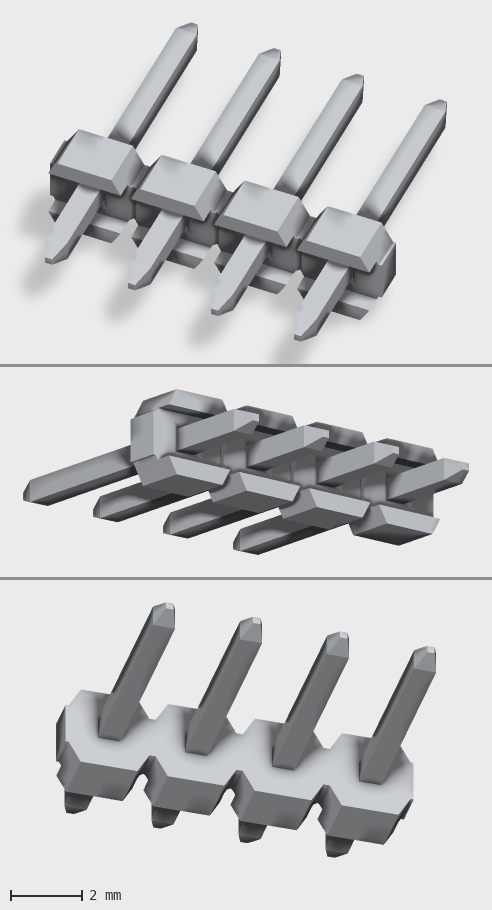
import cadquery as cq


pin_count = 4
pitch = 2.54
row_length = pin_count * pitch
pin_places = [(i - (pin_count - 1) / 2) * pitch for i in range(pin_count)]
gap_places = [x + pitch / 2 for x in pin_places[:-1]]

housing_height = 2.5
housing_depth = 1.5
base_depth = 1.0
base_height = 1.26
block_top_width = 1.65
block_base_width = 2.36
lip_gap = 1.5
notch_width = 0.2
notch_depth = notch_width / 2

pin_width = 0.64
pin_back_length = 6.2
pin_front_length = 2.5
tip_length = 0.58
tip_width = 0.21
pin_front_end = -(housing_depth + pin_front_length)

mouth_width = 1.04
mouth_radius = (mouth_width - pin_width) / 2


def square_bar(x, y_start, y_end, width):
    """Square bar along Y."""
    return cq.Workplane("XY").box(width, y_end - y_start, width).translate((x, (y_start + y_end) / 2, 0))


def square_taper(x, y_start, y_end, start_width, end_width):
    """Square frustum along Y between two widths; y_start is less than y_end."""
    start_plane = cq.Plane(origin=(x, y_start, 0), xDir=(-1, 0, 0), normal=(0, 1, 0))
    return (
        cq.Workplane(start_plane)
        .rect(start_width, start_width)
        .workplane(offset=y_end - y_start)
        .rect(end_width, end_width)
        .loft(ruled=True)
    )


def make_block(x):
    """One cell of the housing: an octagonal block with sloping sides above and below the bar."""
    top_x = block_top_width / 2
    base_x = block_base_width / 2
    top_z = housing_height / 2
    base_z = base_height / 2
    outline = [
        (-top_x, top_z),
        (top_x, top_z),
        (base_x, base_z),
        (base_x, -base_z),
        (top_x, -top_z),
        (-top_x, -top_z),
        (-base_x, -base_z),
        (-base_x, base_z),
    ]
    return cq.Workplane("XZ").polyline(outline).close().extrude(housing_depth).translate((x, 0, 0))


def make_notch(x):
    """Triangular cutter for the V notch in the front of the bar."""
    outline = [
        (x - notch_width / 2, -base_depth),
        (x + notch_width / 2, -base_depth),
        (x, -base_depth + notch_depth),
    ]
    return cq.Workplane("XY").polyline(outline).close().extrude(base_height / 2, both=True)


def hole_rim(x):
    """Selector for the four front edges of the pin hole at x."""
    reach = pin_width / 2 + mouth_radius / 2
    front = -base_depth - mouth_radius / 2
    back = -base_depth + mouth_radius / 2
    return cq.selectors.BoxSelector((x - reach, front, -reach), (x + reach, back, reach))


def make_housing():
    housing = cq.Workplane("XY").box(row_length, base_depth, base_height).translate((0, -base_depth / 2, 0))
    for x in pin_places:
        housing = housing.union(make_block(x))

    lip_depth = housing_depth - base_depth
    opening = cq.Workplane("XY").box(row_length, lip_depth, lip_gap)
    housing = housing.cut(opening.translate((0, -base_depth - lip_depth / 2, 0)))

    for x in gap_places:
        housing = housing.cut(make_notch(x))

    for x in pin_places:
        housing = housing.cut(square_bar(x, -base_depth, 0, pin_width))
        housing = housing.edges(hole_rim(x)).fillet(mouth_radius)
    return housing


def make_pin(x):
    """Square pin with a blunt pyramid tip at each end."""
    shaft_front = pin_front_end + tip_length
    shaft_back = pin_back_length - tip_length
    shaft = square_bar(x, shaft_front, shaft_back, pin_width)
    front_tip = square_taper(x, pin_front_end, shaft_front, tip_width, pin_width)
    back_tip = square_taper(x, shaft_back, pin_back_length, pin_width, tip_width)
    return shaft.union(front_tip).union(back_tip)


housing = make_housing()
pins = [make_pin(x) for x in pin_places]

result = cq.Compound.makeCompound([housing.val(), *[pin.val() for pin in pins]])